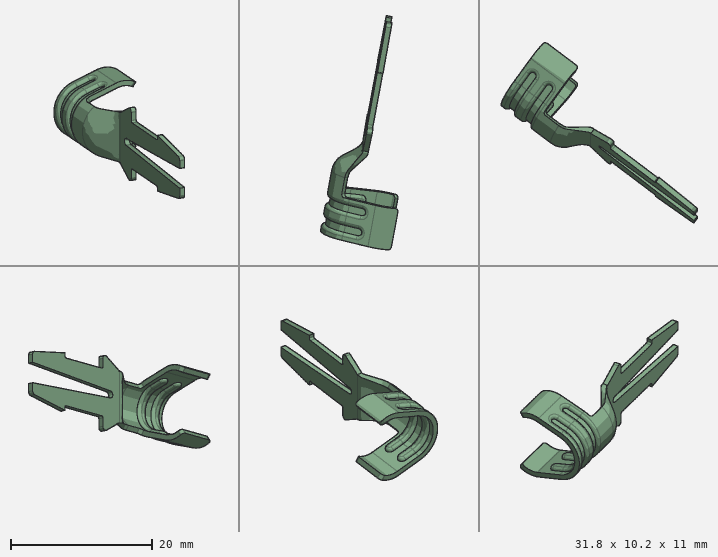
import cadquery as cq
import math

length = 31.75
sheet = 0.8
pick_margin = 0.03

barrel_length = 6.05
base_radius = 4.35
flare_radius = 3.8
flare_center_y = 7.97
barrel_half_height = 5.5
barrel_depth = 10.15
lip_corner_radius = 0.5

bead_centers = (1.62, 4.57)
groove_half_width = 0.5
groove_depth = 0.5
groove_straight = 2.05
ridge_half_width = 0.75
ridge_height = 0.48
ridge_straight = 1.75
bead_overlap = 0.15

neck_half_height = 3.6
bend_start = 8.9
bend_end = 12.95
bend_radius = 2.85
foot_radius = 0.15
flat_bow = 0.003
bend_steps = 8
neck_corner_radius = 0.48

blade_y = 3.7
blade_start = 13.2
blade_root_half_height = 3.78
shoulder_x = 16.75
shoulder_half_height = 5.87
stem_half_height = 3.5
barb_x = 24.83
barb_half_height = 4.22
tip_half_height = 3.1
corner_radius = 0.5
notch_radius = 0.25
slot_start = 14.67
slot_end_radius = 0.5
slot_mouth_half_height = 1.5

flare_center_z = barrel_half_height - flare_radius
center_offset_y = flare_center_y - base_radius
flank_angle = math.atan2(flare_center_z, center_offset_y) - math.asin(
    (base_radius - flare_radius) / math.hypot(center_offset_y, flare_center_z)
)
lip_angle = math.asin((barrel_depth - flare_center_y) / flare_radius)


def base_point(angle, inset):
    """Point (Y, Z) on the base arc; the angle is measured from -Y toward +Z."""
    radius = base_radius - inset
    return base_radius - radius * math.cos(angle), radius * math.sin(angle)


def flare_point(angle, inset):
    """Point (Y, Z) on the upper flare arc; the angle is measured from +Z toward +Y."""
    radius = flare_radius - inset
    return flare_center_y + radius * math.sin(angle), flare_center_z + radius * math.cos(angle)


def mirrored(point):
    return point[0], -point[1]


def make_barrel():
    """Open barrel of constant thickness with its lip corners rounded."""
    half_wrap = math.pi / 2 - flank_angle
    lip_out, crest_out, flank_out = (flare_point(a, 0) for a in (lip_angle, 0, -flank_angle))
    lip_in, crest_in, flank_in = (flare_point(a, sheet) for a in (lip_angle, 0, -flank_angle))
    base_out = base_point(half_wrap, 0)
    base_in = base_point(half_wrap, sheet)
    outline = (
        cq.Workplane("YZ")
        .moveTo(*lip_out)
        .threePointArc(crest_out, flank_out)
        .lineTo(*base_out)
        .threePointArc(base_point(0, 0), mirrored(base_out))
        .lineTo(*mirrored(flank_out))
        .threePointArc(mirrored(crest_out), mirrored(lip_out))
        .lineTo(*mirrored(lip_in))
        .threePointArc(mirrored(crest_in), mirrored(flank_in))
        .lineTo(*mirrored(base_in))
        .threePointArc(base_point(0, sheet), base_in)
        .lineTo(*flank_in)
        .threePointArc(crest_in, lip_in)
        .close()
    )
    barrel = outline.extrude(barrel_length)
    lip_region = cq.selectors.BoxSelector(
        (-pick_margin, flare_center_y, -length), (barrel_length + pick_margin, length, length)
    )
    lip_edges = barrel.edges(lip_region).edges("not(|X)").edges("%LINE")
    return lip_edges.fillet(lip_corner_radius)


def groove_half_section(plane):
    """Half section of the outer groove: a sharp floor corner and a rounded rim."""
    rim = groove_half_width + groove_depth
    lean = groove_depth * math.sqrt(0.5)
    return (
        plane.moveTo(0, -bead_overlap)
        .lineTo(rim, -bead_overlap)
        .lineTo(rim, 0)
        .threePointArc((rim - lean, groove_depth - lean), (groove_half_width, groove_depth))
        .lineTo(0, groove_depth)
        .close()
    )


def ridge_half_section(plane):
    """Half section of the inner ridge: its top corner is rounded down to the sheet."""
    flat = ridge_half_width - ridge_height
    lean = ridge_height * math.sqrt(0.5)
    return (
        plane.moveTo(0, sheet - bead_overlap)
        .lineTo(ridge_half_width, sheet - bead_overlap)
        .lineTo(ridge_half_width, sheet)
        .threePointArc((flat + lean, sheet + lean), (flat, sheet + ridge_height))
        .lineTo(0, sheet + ridge_height)
        .close()
    )


def make_bead(half_section, center_x, straight):
    """Run a half section around the barrel base, up both flanks and around a rounded end."""
    tangent_y, tangent_z = base_point(math.pi / 2 - flank_angle, 0)
    run_y = math.cos(flank_angle)
    run_z = math.sin(flank_angle)

    def plane_at(distance):
        origin = (center_x, tangent_y + distance * run_y, tangent_z + distance * run_z)
        return cq.Workplane(cq.Plane(origin, (1, 0, 0), (0, run_y, run_z)))

    wrap_angle = 180 - 2 * math.degrees(flank_angle)
    wrap_half = half_section(plane_at(0)).revolve(wrap_angle, (0, base_radius), (1, base_radius))
    flank_half = half_section(plane_at(0)).extrude(straight)
    end = half_section(plane_at(straight)).revolve(360, (0, 0), (0, 1))
    flank = flank_half.union(flank_half.mirror("YZ", (center_x, 0, 0))).union(end)
    wrap = wrap_half.union(wrap_half.mirror("YZ", (center_x, 0, 0)))
    return wrap.union(flank).union(flank.mirror("XY"))


def ramp(x, low, high, low_radius, high_radius):
    """Y of a bend that rises from one level to another by an arc, a tangent line and an arc."""
    run = bend_end - bend_start
    rise = high - low
    radii = low_radius + high_radius
    slope = math.atan2(rise - radii, run) + math.asin(radii / math.hypot(run, rise - radii))
    along = min(max(x - bend_start, 0), run)
    if along < low_radius * math.sin(slope):
        return low + low_radius - math.sqrt(low_radius**2 - along**2)
    if run - along < high_radius * math.sin(slope):
        return high - high_radius + math.sqrt(high_radius**2 - (run - along) ** 2)
    line_start = low_radius * math.sin(slope)
    return low + low_radius * (1 - math.cos(slope)) + (along - line_start) * math.tan(slope)


def make_neck():
    """Curved strip that continues the barrel base and then flattens into the blade."""
    edge_angle = math.asin(neck_half_height / base_radius)
    edge_out_y, edge_out_z = base_point(edge_angle, 0)
    edge_in_y, edge_in_z = base_point(edge_angle, sheet)
    inner_bend = bend_radius - sheet
    inner_foot = foot_radius + sheet
    blade_top = blade_y + sheet

    def cross(outline, back, end):
        """Cross the strip by an arc through its back, or by a line once the strip is flat."""
        if end[0] - back < flat_bow:
            return outline.lineTo(*end)
        return outline.threePointArc((back, 0), end)

    def section(x):
        """Closed outline of the strip across X, with its edges cut square to the sheet."""
        back_out = ramp(x, 0, blade_y, bend_radius, foot_radius)
        back_in = ramp(x, sheet, blade_top, inner_bend, inner_foot)
        side_out = ramp(x, edge_out_y, blade_y, bend_radius, foot_radius)
        side_in = ramp(x, edge_in_y, blade_top, inner_bend, inner_foot)
        share = (side_out - edge_out_y) / (blade_y - edge_out_y)
        half_out = edge_out_z + share * (blade_root_half_height - edge_out_z)
        half_in = edge_in_z + share * (blade_root_half_height - edge_in_z)
        outline = cq.Workplane("YZ", (x, 0, 0)).moveTo(side_out, half_out)
        outline = cross(outline, back_out, (side_out, -half_out))
        outline = outline.lineTo(side_in, -half_in)
        return cross(outline, back_in, (side_in, half_in)).close()

    straight = section(barrel_length).extrude(bend_start - barrel_length)
    step = (bend_end - bend_start) / bend_steps
    stations = [bend_start + i * step for i in range(bend_steps)]
    wires = [section(x).val() for x in stations + [bend_end, blade_start]]
    return straight.union(cq.Workplane(cq.Solid.makeLoft(wires)))


def make_blade():
    """Flat blade with shoulders, two barbed prongs and a tapered slot between them."""
    side = [
        (blade_start, blade_root_half_height),
        (shoulder_x, shoulder_half_height),
        (shoulder_x, stem_half_height),
        (barb_x, stem_half_height),
        (barb_x, barb_half_height),
        (length, tip_half_height),
    ]
    outline = side + [mirrored(point) for point in reversed(side)]
    front_plane = cq.Workplane("XZ")
    blade = front_plane.polyline(outline).close().extrude(-sheet)

    def round_corners(body, x, half_height, radius):
        for z in (half_height, -half_height):
            body = body.edges(cq.selectors.NearestToPointSelector((x, sheet / 2, z))).fillet(radius)
        return body

    blade = round_corners(blade, shoulder_x, shoulder_half_height, corner_radius)
    blade = round_corners(blade, shoulder_x, stem_half_height, notch_radius)
    blade = round_corners(blade, barb_x, stem_half_height, notch_radius)
    blade = round_corners(blade, length, tip_half_height, corner_radius)

    slot_tangent_x = slot_start + slot_end_radius
    slot = (
        front_plane.moveTo(length, slot_mouth_half_height)
        .lineTo(slot_tangent_x, slot_end_radius)
        .threePointArc((slot_start, 0), (slot_tangent_x, -slot_end_radius))
        .lineTo(length, -slot_mouth_half_height)
        .close()
        .extrude(-sheet)
    )
    return blade.cut(slot).translate((0, blade_y, 0))


result = make_barrel().union(make_neck())
corner_region = cq.selectors.BoxSelector(
    (barrel_length - pick_margin, 0, -neck_half_height - pick_margin),
    (barrel_length + pick_margin, base_radius, neck_half_height + pick_margin),
)
result = result.edges(corner_region).edges("%LINE").fillet(neck_corner_radius)
result = result.union(make_blade())
for center_x in bead_centers:
    result = result.union(make_bead(ridge_half_section, center_x, ridge_straight))
    result = result.cut(make_bead(groove_half_section, center_x, groove_straight))